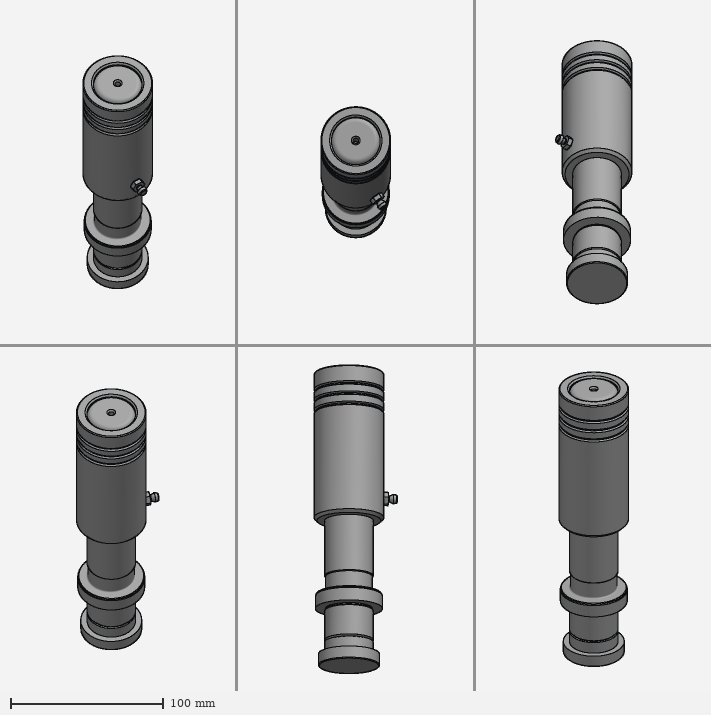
import cadquery as cq
import math

total_height = 199.0
bushing_length = 100.0
stop_height = 16.1

bushing_diameter = 46.0
bushing_radius = bushing_diameter / 2
bushing_top_chamfer = 0.7
bushing_bottom_chamfer = 2.0
bore_mouth_chamfer = 1.2
groove_count = 3
first_groove_depth = 11.0
groove_pitch = 7.0
groove_width = 2.4
groove_depth = 1.2
groove_slope = 0.8

pin_diameter = 32.0
pin_radius = pin_diameter / 2
pin_top_round = 3.5
pin_foot_chamfer_width = 1.5
pin_foot_chamfer_height = 1.4
neck_diameter = 30.8
neck_radius = neck_diameter / 2
neck_top = 61.3
neck_slope = pin_radius - neck_radius
collar_radius = 22.0
collar_bottom = 39.0
collar_height = 10.0
collar_chamfer_width = 0.5
collar_chamfer_height = 0.5
collar_lead_width = 0.3
collar_lead_height = 0.8
collar_root_fillet = 1.0
undercut_height = 1.5
undercut_slope = 0.8

hole_radius = 1.8
hole_mouth_diameter = 5.8
hole_mouth_radius = hole_mouth_diameter / 2
hole_depth = 10.0
drill_tip_angle = 118.0

stop_radius = 20.0
stop_plate_thickness = 8.2
stop_chamfer = 0.5

nipple_height = 114.2
nipple_angle = -15.0
hex_sides = 6
hex_across_flats = 8.0
hex_end = 25.9
nipple_neck_radius = 2.0
nipple_neck_end = 26.7
head_radius = 3.2
head_start = 29.3
head_shoulder = 31.2
head_shoulder_radius = 2.8
tip_radius = 2.2
nipple_end = 31.8

bushing_bottom = total_height - bushing_length
hex_corner_radius = hex_across_flats / 2 / math.cos(math.pi / hex_sides)
hex_start = math.sqrt(bushing_radius**2 - hex_corner_radius**2)


def revolve_about_z(outline):
    return outline.close().revolve(360, (0, 0, 0), (0, 1, 0))


def make_groove(top):
    bottom = top - groove_width
    floor_radius = bushing_radius - groove_depth
    outline = (
        cq.Workplane("XZ")
        .moveTo(bushing_radius, top)
        .lineTo(floor_radius, top - groove_slope)
        .lineTo(floor_radius, bottom + groove_slope)
        .lineTo(bushing_radius, bottom)
    )
    return revolve_about_z(outline)


def make_bushing(nipple):
    bushing = (
        cq.Workplane("XY", origin=(0, 0, bushing_bottom))
        .circle(bushing_radius)
        .extrude(bushing_length)
        .faces(">Z").edges().chamfer(bushing_top_chamfer)
        .faces("<Z").edges().chamfer(bushing_bottom_chamfer)
        .faces(">Z").workplane().hole(pin_diameter)
    )
    bore_mouth = bushing.faces(">Z").edges(cq.selectors.RadiusNthSelector(0))
    bushing = bore_mouth.chamfer(bore_mouth_chamfer)
    for i in range(groove_count):
        bushing = bushing.cut(make_groove(total_height - first_groove_depth - i * groove_pitch))
    return bushing.cut(nipple)


def make_pin_hole():
    tip_height = hole_radius / math.tan(math.radians(drill_tip_angle / 2))
    mouth_depth = hole_mouth_radius - hole_radius
    outline = (
        cq.Workplane("XZ")
        .moveTo(0, total_height)
        .lineTo(hole_mouth_radius, total_height)
        .lineTo(hole_radius, total_height - mouth_depth)
        .lineTo(hole_radius, total_height - hole_depth)
        .lineTo(0, total_height - hole_depth - tip_height)
    )
    return revolve_about_z(outline)


def make_pin():
    collar_top = collar_bottom + collar_height
    undercut_bottom = collar_bottom - undercut_height
    bevel_bottom = collar_top - collar_chamfer_height
    bevel_radius = collar_radius - collar_lead_width
    outline = (
        cq.Workplane("XZ")
        .moveTo(0, stop_height)
        .lineTo(pin_radius - pin_foot_chamfer_width, stop_height)
        .lineTo(pin_radius, stop_height + pin_foot_chamfer_height)
        .lineTo(pin_radius, undercut_bottom)
        .lineTo(neck_radius, undercut_bottom + undercut_slope)
        .lineTo(neck_radius, collar_bottom)
        .lineTo(collar_radius, collar_bottom)
        .lineTo(collar_radius, bevel_bottom - collar_lead_height)
        .lineTo(bevel_radius, bevel_bottom)
        .lineTo(bevel_radius - collar_chamfer_width, collar_top)
        .lineTo(neck_radius + collar_root_fillet, collar_top)
        .radiusArc((neck_radius, collar_top + collar_root_fillet), collar_root_fillet)
        .lineTo(neck_radius, neck_top - neck_slope)
        .lineTo(pin_radius, neck_top)
        .lineTo(pin_radius, total_height - pin_top_round)
        .radiusArc((pin_radius - pin_top_round, total_height), -pin_top_round)
        .lineTo(0, total_height)
    )
    return revolve_about_z(outline).cut(make_pin_hole())


def make_end_stop():
    plate = (
        cq.Workplane("XY")
        .circle(stop_radius)
        .extrude(stop_plate_thickness)
        .faces("<Z").edges().chamfer(stop_chamfer)
    )
    return plate.faces(">Z").workplane().circle(pin_radius).extrude(stop_height - stop_plate_thickness)


def make_nipple():
    hexagon = (
        cq.Workplane("YZ", origin=(hex_start, 0, nipple_height))
        .polygon(hex_sides, 2 * hex_corner_radius)
        .extrude(hex_end - hex_start)
    )
    head = (
        cq.Workplane("XZ", origin=(0, 0, nipple_height))
        .moveTo(hex_end, 0)
        .lineTo(hex_end, nipple_neck_radius)
        .lineTo(nipple_neck_end, nipple_neck_radius)
        .lineTo(head_start, head_radius)
        .lineTo(head_shoulder, head_shoulder_radius)
        .lineTo(nipple_end, tip_radius)
        .lineTo(nipple_end, 0)
        .close()
        .revolve(360, (0, 0, 0), (1, 0, 0))
    )
    return hexagon.union(head).rotate((0, 0, 0), (0, 0, 1), nipple_angle)


nipple = make_nipple()
bushing = make_bushing(nipple)
pin = make_pin()
end_stop = make_end_stop()

result = cq.Compound.makeCompound([bushing.val(), pin.val(), end_stop.val(), nipple.val()])